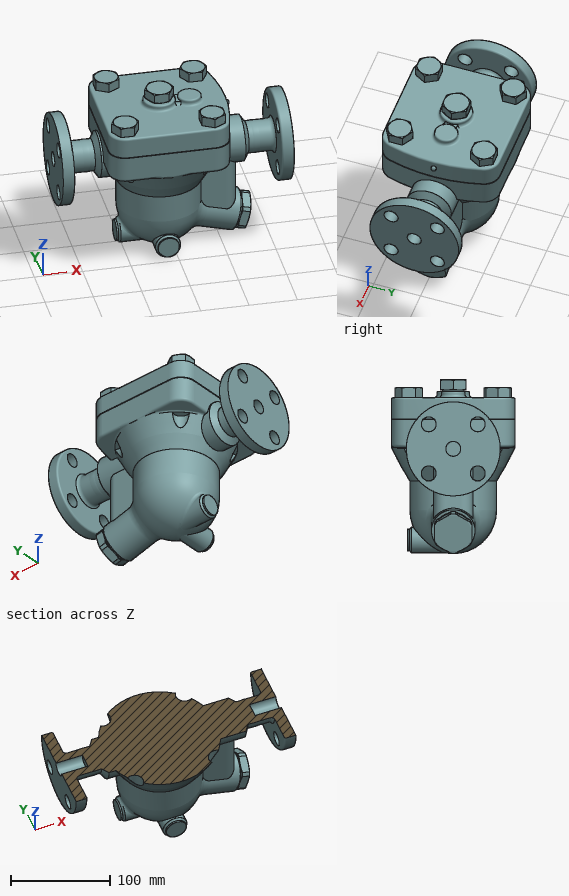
import cadquery as cq
import math


flange_left_x = -109.5
flange_right_x = 129.5
flange_d = 95.0
flange_thickness = 12.3
flange_edge_r = 2.0
flange_hole_d = 15.0
flange_hole_count = 4
flange_hole_circle_d = 70.0
bore_d = 15.0
neck_d = 33.0
hub_d = 38.0
hub_end = 16.4
weld_start = 28.5
weld_end = 35.0
weld_bulge = 0.3
port_cone_start = 40.0
port_cone_end = 45.0
port_d = 48.0

half_width = 62.5
bolt_offset = 45.0
bolt_positions = [(x, y) for x in (-bolt_offset, bolt_offset) for y in (-bolt_offset, bolt_offset)]
corner_r = half_width - bolt_offset
right_bulge = 6.3
body_flange_bottom = 1.5
gasket_bottom = 29.6
gasket_top = 30.1
gasket_inset = 0.3
cover_top = 51.8
outline_edge_r = 2.2
body_flange_edge_r = 2.8

bowl_r = 43.85
dome_z = -62.0
cone_bottom_z = -32.6
shoulder_fillet_r = 2.2
cone_break_r = 52.2
cone_break_z = -18.7
cone_top_slope = 0.516
bolt_relief_r = 9.0
bolt_relief_top = 0.3

bolt_flats = 24.2
bolt_head_height = 10.3
hex_corner_drop = 0.8

bridge_top = cover_top + 3.5
boss_foot_r = 3.0
boss_top = 58.1
boss_edge_r = 1.7
plug_boss_d = 33.0
plug_neck_d = 22.0
plug_hex_bottom = 59.5
plug_hex_top = 69.85
plug_flats = 26.0
small_boss_x = 31.3
small_boss_d = 24.0
bridge_width = 13.4

pin_r = 2.8
pin_tip_x = 72.4
pin_z = 43.8

passage_end_x = 77.0
passage_half_width = 20.0
passage_corner_r = 12.0

drain_z = -92.0
drain_d = 26.0
drain_plug_d = 22.0
drain_boss_end = 44.2
drain_plug_end = 46.0
drain_fillet_r = 3.3

strainer_tilt = 15.0
strainer_d = 44.0
strainer_end = 80.0
strainer_blend_r = 15.0
strainer_washer_d = 38.0
strainer_hex_start = 82.5
strainer_hex_end = 91.7
strainer_flats = 38.0
strainer_corner_d = 41.6


def cylinder(diameter, z_low, z_high, x=0.0, y=0.0):
    return cq.Workplane("XY", origin=(x, y, z_low)).circle(diameter / 2).extrude(z_high - z_low)


def hexagon(flats, z_low, z_high, corner_on_x, chamfer_bottom=False):
    """Hexagonal head on the Z axis, its corners chamfered at the top and, if asked, at the bottom."""
    corner_r = flats / 2 / math.cos(math.radians(30))
    head = cq.Workplane("XY", origin=(0, 0, z_low)).polygon(6, 2 * corner_r).extrude(z_high - z_low)
    if not corner_on_x:
        head = head.rotate((0, 0, 0), (0, 0, 1), 30)
    chamfered_ends = "<Z or >Z" if chamfer_bottom else ">Z"
    turned = cylinder(2 * corner_r, z_low, z_high).faces(chamfered_ends).edges()
    return head.intersect(turned.chamfer(hex_corner_drop, corner_r - flats / 2))


def flange_outline(z_low, z_high, inset=0.0):
    """Square plate with round corners and a bowed +X side tangent to its corners."""
    half_angle = 2 * math.atan(right_bulge / bolt_offset)
    bow_r = bolt_offset / math.sin(half_angle) + corner_r - inset
    r = corner_r - inset
    edge = half_width - inset
    bow_x = edge + right_bulge
    join_x = bolt_offset + r * math.cos(half_angle)
    join_y = bow_r * math.sin(half_angle)
    mid_angle = (math.pi / 2 + half_angle) / 2
    mid_x = bolt_offset + r * math.cos(mid_angle)
    mid_y = bolt_offset + r * math.sin(mid_angle)
    diagonal = bolt_offset + r * math.sqrt(0.5)
    return (
        cq.Workplane("XY", origin=(0, 0, z_low))
        .moveTo(-bolt_offset, -edge)
        .lineTo(bolt_offset, -edge)
        .threePointArc((mid_x, -mid_y), (join_x, -join_y))
        .threePointArc((bow_x, 0), (join_x, join_y))
        .threePointArc((mid_x, mid_y), (bolt_offset, edge))
        .lineTo(-bolt_offset, edge)
        .threePointArc((-diagonal, diagonal), (-edge, bolt_offset))
        .lineTo(-edge, -bolt_offset)
        .threePointArc((-diagonal, -diagonal), (-bolt_offset, -edge))
        .close()
        .extrude(z_high - z_low)
    )


def pipe_connection(flange_x, inward):
    """Flange, neck and port; inward is +1 or -1, pointing along X to the body."""
    flange_r = flange_d / 2
    neck_r = neck_d / 2

    def at(distance, radius):
        return (flange_x + inward * distance, radius)

    rise = (hub_d - neck_d) / 2
    run = hub_end - flange_thickness
    arc_r = (run**2 + rise**2) / (2 * rise)
    half_turn = math.atan2(rise, run)
    hub_mid = at(
        hub_end - arc_r * math.sin(half_turn),
        neck_r + arc_r * (1 - math.cos(half_turn)),
    )
    edge_mid = at(
        flange_thickness - flange_edge_r * (1 - math.sqrt(0.5)),
        flange_r - flange_edge_r * (1 - math.sqrt(0.5)),
    )
    pipe = (
        cq.Workplane("XY")
        .moveTo(*at(0, 0))
        .lineTo(*at(0, flange_r))
        .lineTo(*at(flange_thickness - flange_edge_r, flange_r))
        .threePointArc(edge_mid, at(flange_thickness, flange_r - flange_edge_r))
        .lineTo(*at(flange_thickness, hub_d / 2))
        .threePointArc(hub_mid, at(hub_end, neck_r))
        .lineTo(*at(weld_start, neck_r))
        .threePointArc(at((weld_start + weld_end) / 2, neck_r + weld_bulge), at(weld_end, neck_r))
        .lineTo(*at(port_cone_start, neck_r))
        .lineTo(*at(port_cone_end, port_d / 2))
        .lineTo(0, port_d / 2)
        .lineTo(0, 0)
        .close()
        .revolve(360, (0, 0, 0), (1, 0, 0))
    )
    face = cq.Workplane("YZ", origin=(flange_x, 0, 0))
    bolt_holes = (
        face.polarArray(flange_hole_circle_d / 2, 45, 360, flange_hole_count)
        .circle(flange_hole_d / 2)
        .extrude(inward * flange_thickness)
    )
    bore = face.circle(bore_d / 2).extrude(inward * weld_start)
    return pipe.cut(bolt_holes).cut(bore)


def bowl():
    """Conical shoulder, cylinder and hemisphere, trimmed to the flange outline."""
    cone_angle = math.atan(1 / cone_top_slope)
    rim_r = cone_break_r + cone_top_slope * (body_flange_bottom - cone_break_z)
    tangent = shoulder_fillet_r * math.tan(cone_angle / 2)
    arc_x = rim_r + tangent
    arc_z = body_flange_bottom - shoulder_fillet_r
    mid_angle = math.pi / 2 + cone_angle / 2
    outer_r = 2 * half_width
    profile = (
        cq.Workplane("XZ")
        .moveTo(0, dome_z - bowl_r)
        .threePointArc(
            (bowl_r * math.sqrt(0.5), dome_z - bowl_r * math.sqrt(0.5)),
            (bowl_r, dome_z),
        )
        .lineTo(bowl_r, cone_bottom_z)
        .lineTo(cone_break_r, cone_break_z)
        .lineTo(rim_r - tangent * math.cos(cone_angle), body_flange_bottom - tangent * math.sin(cone_angle))
        .threePointArc(
            (
                arc_x + shoulder_fillet_r * math.cos(mid_angle),
                arc_z + shoulder_fillet_r * math.sin(mid_angle),
            ),
            (arc_x, body_flange_bottom),
        )
        .lineTo(outer_r, body_flange_bottom)
        .lineTo(outer_r, gasket_bottom)
        .lineTo(0, gasket_bottom)
        .close()
        .revolve(360, (0, 0, 0), (0, 1, 0))
    )
    body = profile.intersect(flange_outline(dome_z - bowl_r, gasket_bottom))
    body = body.faces("<X").edges("<Z").fillet(body_flange_edge_r)
    for x, y in bolt_positions:
        body = body.cut(cylinder(2 * bolt_relief_r, cone_bottom_z, bolt_relief_top, x, y))
    return body


def drain_boss():
    """Drain boss and its plug along +X, at the drain height."""
    boss_r = drain_d / 2
    plug_r = drain_plug_d / 2
    return (
        cq.Workplane("XY")
        .lineTo(0, boss_r)
        .lineTo(drain_boss_end - (boss_r - plug_r), boss_r)
        .lineTo(drain_boss_end, plug_r)
        .lineTo(drain_plug_end, plug_r)
        .lineTo(drain_plug_end, 0)
        .close()
        .revolve(360, (0, 0, 0), (1, 0, 0))
        .translate((0, 0, drain_z))
    )


def bowl_with_left_drain():
    """Bowl with the -X drain boss blended into the dome."""
    joined = bowl().union(drain_boss().rotate((0, 0, 0), (0, 0, 1), 180))
    seam = cq.selectors.BoxSelector(
        (-bowl_r, -drain_d / 2, drain_z - drain_d / 2),
        (-drain_d / 2, drain_d / 2, drain_z + drain_d / 2),
    )
    return joined.edges(seam).edges("%BSPLINE").fillet(drain_fillet_r)


def strainer():
    """Strainer boss blended into the dome, with its washer and hexagonal cap."""
    boss_r = strainer_d / 2
    blend_centre_r = boss_r + strainer_blend_r
    centre_distance = bowl_r + strainer_blend_r
    blend_z = math.sqrt(centre_distance**2 - blend_centre_r**2)
    touch_r = blend_centre_r * bowl_r / centre_distance
    touch_z = blend_z * bowl_r / centre_distance
    start_angle = math.atan2(touch_z - blend_z, touch_r - blend_centre_r)
    mid_angle = (start_angle % (2 * math.pi) + math.pi) / 2
    mid = (
        blend_centre_r + strainer_blend_r * math.cos(mid_angle),
        blend_z + strainer_blend_r * math.sin(mid_angle),
    )
    boss = (
        cq.Workplane("XZ")
        .lineTo(touch_r, touch_z)
        .threePointArc(mid, (boss_r, blend_z))
        .lineTo(boss_r, strainer_end)
        .lineTo(0, strainer_end)
        .close()
        .revolve(360, (0, 0, 0), (0, 1, 0))
    )
    washer = cylinder(strainer_washer_d, strainer_end, strainer_hex_start)
    cap = hexagon(strainer_flats, strainer_hex_start, strainer_hex_end, True, True)
    cap = cap.intersect(cylinder(strainer_corner_d, strainer_hex_start, strainer_hex_end))
    return (
        boss.union(washer)
        .union(cap)
        .rotate((0, 0, 0), (0, 1, 0), 90 + strainer_tilt)
        .translate((0, 0, dome_z))
    )


def outlet_passage():
    """Upright block from the outlet port down to the axis of the strainer boss."""
    axis_drop = passage_end_x * math.tan(math.radians(strainer_tilt))
    return (
        cq.Workplane("XZ")
        .lineTo(passage_end_x, 0)
        .lineTo(passage_end_x, dome_z - axis_drop)
        .lineTo(0, dome_z)
        .close()
        .extrude(passage_half_width, both=True)
        .edges("|Z and >X")
        .fillet(passage_corner_r)
    )


def boss_crown(diameter, x):
    """Upper part of a cover boss, with a round top edge."""
    return cylinder(diameter, bridge_top, boss_top, x).faces(">Z").edges().fillet(boss_edge_r)


def cover():
    """Cover plate with its plug boss, small boss and the bridge between them."""
    plate = flange_outline(gasket_top, cover_top).faces(">Z").edges().fillet(outline_edge_r)
    bridge = (
        cq.Workplane("XY", origin=(small_boss_x / 2, 0, gasket_top))
        .rect(small_boss_x, bridge_width)
        .extrude(bridge_top - gasket_top)
    )
    bosses = (
        cylinder(plug_boss_d, gasket_top, bridge_top)
        .union(cylinder(small_boss_d, gasket_top, bridge_top, small_boss_x))
        .union(bridge)
    )
    joined = plate.union(bosses)
    rise = bridge_top - cover_top
    foot = cq.selectors.BoxSelector(
        (-plug_boss_d, -plug_boss_d, cover_top - rise / 2),
        (small_boss_x + small_boss_d, plug_boss_d, cover_top + rise / 2),
    )
    return (
        joined.edges(foot)
        .fillet(boss_foot_r)
        .union(boss_crown(plug_boss_d, 0))
        .union(boss_crown(small_boss_d, small_boss_x))
    )


def top_plug():
    """Hexagon plug standing on a round neck in the larger cover boss."""
    neck = cylinder(plug_neck_d, cover_top, plug_hex_bottom)
    head = hexagon(plug_flats, plug_hex_bottom, plug_hex_top, True, True)
    return neck.union(head)


def cover_bolts():
    """Four hexagon heads, turned alternately by 30 degrees."""
    heads = cq.Workplane("XY")
    for x, y in bolt_positions:
        head = hexagon(bolt_flats, cover_top, cover_top + bolt_head_height, x * y > 0)
        heads = heads.add(head.translate((x, y, 0)))
    return heads


def pin_tip():
    """Ball end of the pin, sunk in the cover for about half its depth."""
    return cq.Workplane("XY").sphere(pin_r).translate((pin_tip_x - pin_r, 0, pin_z))


gasket = flange_outline(gasket_bottom, gasket_top, gasket_inset)

result = bowl_with_left_drain().union(gasket).union(cover())
result = result.union(drain_boss().rotate((0, 0, 0), (0, 0, 1), -90))
result = result.union(outlet_passage()).union(strainer())
result = result.union(pipe_connection(flange_left_x, 1)).union(pipe_connection(flange_right_x, -1))
result = result.union(top_plug()).union(pin_tip())
for bolt_head in cover_bolts().vals():
    result = result.union(cq.Workplane(bolt_head))
result = result.clean()